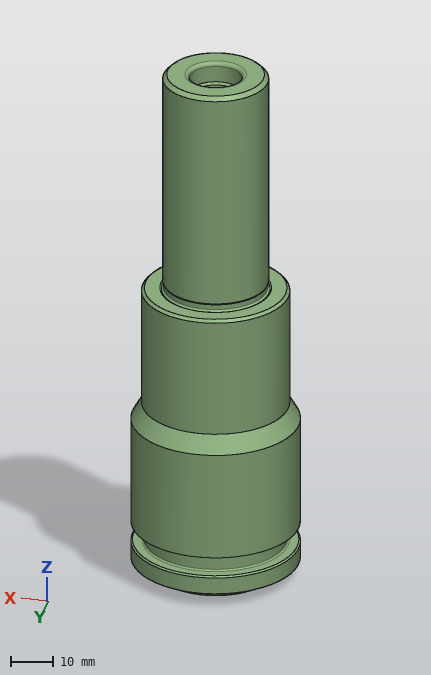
import cadquery as cq
import math

total_length = 130.0

body_radius = 40.0 / 2
lead_in_radius = 28.0 / 2
cone_angle = math.radians(30)
lead_in_height = (body_radius - lead_in_radius) * math.tan(cone_angle)
flange_top = 8.0
flange_chamfer = 0.4

groove_radius = 34.0 / 2
groove_top = 12.9
groove_fillet = 0.4

neck_radius = 35.0 / 2
body_top = 39.8
neck_start = body_top + (body_radius - neck_radius) / math.tan(cone_angle)
shoulder = 74.0
neck_chamfer = 0.7

shank_radius = 25.0 / 2
undercut_radius = 24.6 / 2
undercut_length = 1.9
undercut_ramp = (shank_radius - undercut_radius) / math.tan(cone_angle)
undercut_fillet = 0.5
undercut_dip = 0.2
undercut_rim_radius = 26.3 / 2
shank_chamfer = 1.0

bore_radius = 10.92 / 2
entry_radius = 12.5 / 2
entry_depth = 5.0
entry_round = 1.0
entry_floor_drop = (entry_radius - bore_radius) * math.tan(cone_angle)

ARC_MIDDLE = 1 - math.sqrt(0.5)


def turned_body():
    """Solid of revolution; the profile is drawn as (radius, height)."""
    groove_fillet_inset = ARC_MIDDLE * groove_fillet
    undercut_inset = ARC_MIDDLE * undercut_fillet
    undercut_floor = shoulder - undercut_dip
    undercut_end = shoulder + undercut_length
    profile = (
        cq.Workplane("XZ")
        .moveTo(0, 0)
        .lineTo(lead_in_radius, 0)
        .lineTo(body_radius, lead_in_height)
        .lineTo(body_radius, flange_top - flange_chamfer)
        .lineTo(body_radius - flange_chamfer, flange_top)
        .lineTo(groove_radius + groove_fillet, flange_top)
        .threePointArc(
            (groove_radius + groove_fillet_inset, flange_top + groove_fillet_inset),
            (groove_radius, flange_top + groove_fillet),
        )
        .lineTo(groove_radius, groove_top - groove_fillet)
        .threePointArc(
            (groove_radius + groove_fillet_inset, groove_top - groove_fillet_inset),
            (groove_radius + groove_fillet, groove_top),
        )
        .lineTo(body_radius, groove_top)
        .lineTo(body_radius, body_top)
        .lineTo(neck_radius, neck_start)
        .lineTo(neck_radius, shoulder - neck_chamfer)
        .lineTo(neck_radius - neck_chamfer, shoulder)
        .lineTo(undercut_rim_radius, shoulder)
        .lineTo(undercut_radius + undercut_fillet, undercut_floor)
        .threePointArc(
            (undercut_radius + undercut_inset, undercut_floor + undercut_inset),
            (undercut_radius, undercut_floor + undercut_fillet),
        )
        .lineTo(undercut_radius, undercut_end - undercut_ramp)
        .lineTo(shank_radius, undercut_end)
        .lineTo(shank_radius, total_length - shank_chamfer)
        .lineTo(shank_radius - shank_chamfer, total_length)
        .lineTo(0, total_length)
        .close()
    )
    return profile.revolve(360, (0, 0, 0), (0, 1, 0))


def stepped_bore():
    """Through bore, its wider entry with a conical floor, and a rounded rim."""
    entry_floor = total_length - entry_depth
    round_inset = ARC_MIDDLE * entry_round
    profile = (
        cq.Workplane("XZ")
        .moveTo(0, 0)
        .lineTo(bore_radius, 0)
        .lineTo(bore_radius, entry_floor - entry_floor_drop)
        .lineTo(entry_radius, entry_floor)
        .lineTo(entry_radius, total_length - entry_round)
        .threePointArc(
            (entry_radius + round_inset, total_length - round_inset),
            (entry_radius + entry_round, total_length),
        )
        .lineTo(0, total_length)
        .close()
    )
    return profile.revolve(360, (0, 0, 0), (0, 1, 0))


result = turned_body().cut(stepped_bore())